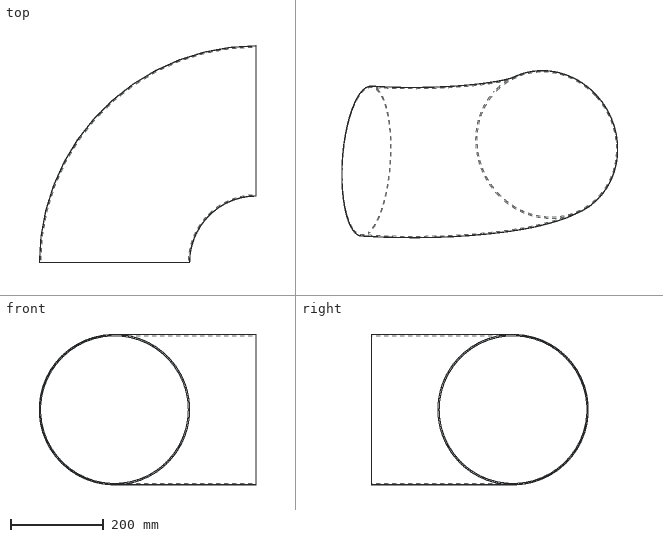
import cadquery as cq

outer_diameter = 323.9
wall_thickness = 3.0
bend_radius = 305.0
bend_angle = 90.0

inner_diameter = outer_diameter - 2 * wall_thickness


def make_elbow():
    """Sweep the pipe's ring section clockwise about the vertical bend axis."""
    ring = cq.Workplane("XZ").circle(outer_diameter / 2).circle(inner_diameter / 2)
    axis_start = (bend_radius, 0)
    axis_end = (bend_radius, -1)
    return ring.revolve(bend_angle, axis_start, axis_end)


result = make_elbow()